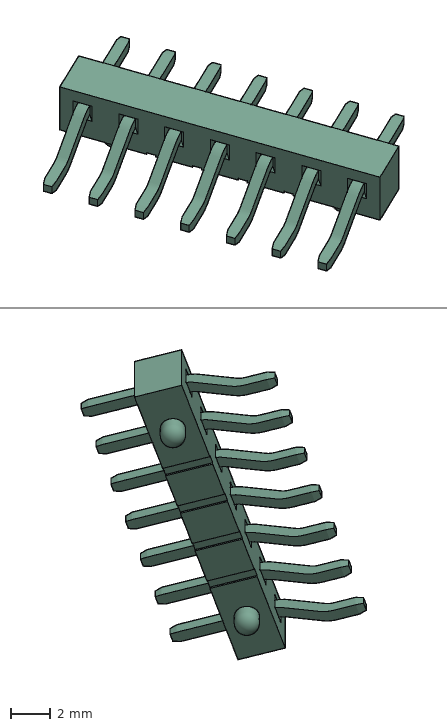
import cadquery as cq
import math

pin_count = 7
body_length = 17.78
pitch = body_length / pin_count
body_depth = pitch
body_height = 3.0
front_y = -body_depth / 2
back_y = body_depth / 2

pin_size = 0.64
pin_half = pin_size / 2
pin_axis_z = 1.76
back_reach = 3.18
front_reach = 4.68
tip_length = 0.4
tip_size = 0.48
bend_radius = 1.25
bend_angle = math.radians(29)
bend_inset = 0.15

pocket_size = 1.05
pocket_depth = (pocket_size - pin_size) / 2

peg_diameter = 1.3
peg_length = 1.2
peg_x = 2.5 * pitch
notch_width = 0.5
notch_height = 0.1
notch_positions = [offset * pitch for offset in (-1.5, -0.5, 0.5, 1.5)]


def frustum(y_start, y_end, z_center, size_start, size_end):
    """Square frustum along Y, centered on X = 0."""
    return (
        cq.Workplane("XZ", origin=(0, y_start, z_center))
        .rect(size_start, size_start)
        .workplane(offset=y_start - y_end)
        .rect(size_end, size_end)
        .loft(combine=True)
    )


def bend_points(center_y, center_z, radius, side):
    """Bend arc from its level end to its sloped end; side is 1 above the center, -1 below."""
    return [
        (
            center_y - side * radius * math.sin(angle),
            center_z + side * radius * math.cos(angle),
        )
        for angle in (0, bend_angle / 2, bend_angle)
    ]


def make_pin():
    """One cranked pin with tapered ends, centered on X = 0."""
    back_shoulder_y = back_y + back_reach - tip_length
    front_shoulder_y = front_y - front_reach + tip_length
    foot_axis_z = pin_half

    drop = pin_axis_z - foot_axis_z
    bends_drop = 2 * bend_radius * (1 - math.cos(bend_angle))
    slope_run = (drop - bends_drop) / math.tan(bend_angle)
    upper_y = front_y + bend_inset
    lower_y = upper_y - slope_run - 2 * bend_radius * math.sin(bend_angle)
    upper_z = pin_axis_z - bend_radius
    lower_z = foot_axis_z + bend_radius

    above = 1
    below = -1
    outer_radius = bend_radius + pin_half
    inner_radius = bend_radius - pin_half
    upper_outer = bend_points(upper_y, upper_z, outer_radius, above)
    upper_inner = bend_points(upper_y, upper_z, inner_radius, above)
    lower_outer = bend_points(lower_y, lower_z, outer_radius, below)
    lower_inner = bend_points(lower_y, lower_z, inner_radius, below)

    shank = (
        cq.Workplane("YZ")
        .moveTo(back_shoulder_y, pin_axis_z + pin_half)
        .lineTo(*upper_outer[0])
        .threePointArc(upper_outer[1], upper_outer[2])
        .lineTo(*lower_inner[2])
        .threePointArc(lower_inner[1], lower_inner[0])
        .lineTo(front_shoulder_y, foot_axis_z + pin_half)
        .lineTo(front_shoulder_y, foot_axis_z - pin_half)
        .lineTo(*lower_outer[0])
        .threePointArc(lower_outer[1], lower_outer[2])
        .lineTo(*upper_inner[2])
        .threePointArc(upper_inner[1], upper_inner[0])
        .lineTo(back_shoulder_y, pin_axis_z - pin_half)
        .close()
        .extrude(pin_half, both=True)
    )
    back_tip = frustum(back_shoulder_y, back_y + back_reach, pin_axis_z, pin_size, tip_size)
    front_tip = frustum(front_shoulder_y, front_y - front_reach, foot_axis_z, pin_size, tip_size)
    return shank.union(back_tip).union(front_tip)


def make_peg():
    """Locating peg with a hemispherical end, hanging below Z = 0 on the Z axis."""
    radius = peg_diameter / 2
    dome_z = radius - peg_length
    mid = radius * math.sqrt(0.5)
    return (
        cq.Workplane("XZ")
        .lineTo(radius, 0)
        .lineTo(radius, dome_z)
        .threePointArc((mid, dome_z - mid), (0, -peg_length))
        .close()
        .revolve(360, (0, 0), (0, 1))
    )


result = cq.Workplane("XY").box(body_length, body_depth, body_height, centered=(True, True, False))

notch = cq.Workplane("XY").box(notch_width, body_depth, notch_height, centered=(True, True, False))
for x in notch_positions:
    result = result.cut(notch.translate((x, 0, 0)))

pocket = frustum(front_y, front_y + pocket_depth, pin_axis_z, pocket_size, pin_size)
pin = make_pin()
for index in range(pin_count):
    pin_x = (index - (pin_count - 1) / 2) * pitch
    result = result.cut(pocket.translate((pin_x, 0, 0)))
    result = result.union(pin.translate((pin_x, 0, 0)))

peg = make_peg()
for x in (-peg_x, peg_x):
    result = result.union(peg.translate((x, 0, 0)))